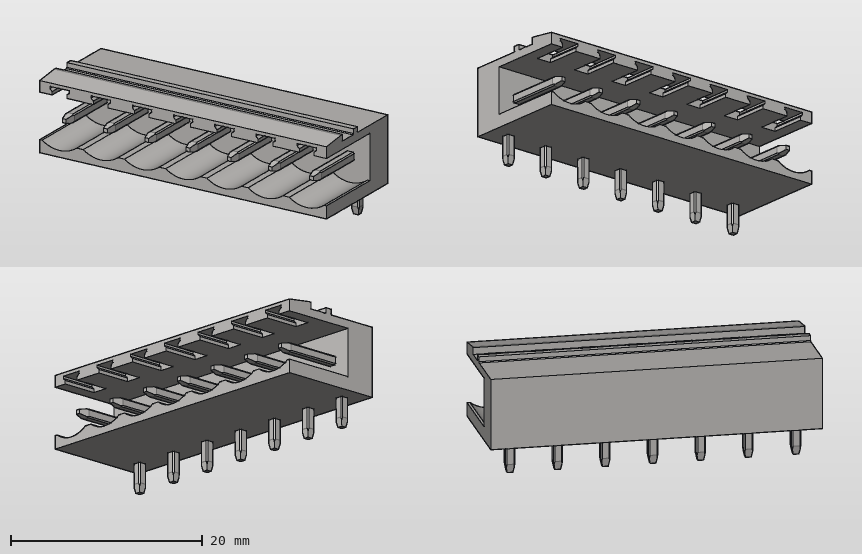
import cadquery as cq


length = 35.35
depth = 12.0
rear_wall = 3.5
floor_thickness = 1.5
ceiling_height = 6.8
roof_height = 7.7
ridge_front = 6.7
ridge_rear = 5.95
ridge_height = 8.35
ridge_foot = 0.1
lip_start = 8.85
lip_flat = 0.32
lip_height = 8.45
lip_nose_height = 8.1

pin_count = 7
end_margin = 2.45
pitch = (length - 2 * end_margin) / (pin_count - 1)
pin_xs = [end_margin - length / 2 + i * pitch for i in range(pin_count)]

scallop_width = 4.28
scallop_depth = 0.7
scallop_radius = ((scallop_width / 2) ** 2 + scallop_depth ** 2) / (2 * scallop_depth)

notch_top_width = 2.37
notch_bottom_width = 1.8
notch_throat = 0.4
notch_slope = (notch_top_width - notch_bottom_width) / 2
notch_reach_behind_lip = 1.0
notch_start = lip_start - notch_reach_behind_lip

pin_size = 1.0
pin_edge_chamfer = 0.15
contact_height = 3.75
contact_reach = 11.05
contact_taper = 1.15
contact_tip_size = 0.45
tail_setback = 2.1
tail_reach = 3.2
tail_taper = 0.95
tail_tip_size = 0.6


def make_housing_blank():
    """Side profile of the housing, extruded along the row."""
    profile = [
        (0, 0),
        (-depth, 0),
        (-depth, floor_thickness),
        (-rear_wall, floor_thickness),
        (-rear_wall, ceiling_height),
        (-depth, ceiling_height),
        (-depth, lip_nose_height),
        (-(lip_start + lip_flat), lip_height),
        (-lip_start, lip_height),
        (-lip_start, roof_height),
        (-(ridge_front + ridge_foot), roof_height),
        (-ridge_front, roof_height + ridge_foot),
        (-ridge_front, ridge_height),
        (-ridge_rear, ridge_height),
        (-ridge_rear, roof_height + ridge_foot),
        (-(ridge_rear - ridge_foot), roof_height),
        (0, roof_height),
    ]
    return cq.Workplane("YZ").polyline(profile).close().extrude(length / 2, both=True)


def make_scallop(x):
    """Round trough in the floor, from the rear wall out through the front."""
    return (
        cq.Workplane("XZ", origin=(x, -rear_wall, floor_thickness - scallop_depth + scallop_radius))
        .circle(scallop_radius)
        .extrude(depth - rear_wall)
        .intersect(
            cq.Workplane("XY", origin=(x, 0, 0))
            .rect(scallop_width, 2 * depth)
            .extrude(floor_thickness)
        )
    )


def make_notch(x):
    """Stepped opening, wide at the roof surface and narrow at the ceiling."""
    half_top = notch_top_width / 2
    half_bottom = notch_bottom_width / 2
    throat_top = ceiling_height + notch_throat
    return (
        cq.Workplane("XZ", origin=(x, -notch_start, 0))
        .moveTo(-half_bottom, ceiling_height)
        .lineTo(-half_bottom, throat_top)
        .lineTo(-half_top, throat_top + notch_slope)
        .lineTo(-half_top, roof_height)
        .lineTo(half_top, roof_height)
        .lineTo(half_top, throat_top + notch_slope)
        .lineTo(half_bottom, throat_top)
        .lineTo(half_bottom, ceiling_height)
        .close()
        .extrude(depth - notch_start)
    )


def make_leg(leg_length, taper_length, tip_size):
    """Upright square leg with chamfered edges, its top end tapering to a flat tip."""
    shank_length = leg_length - taper_length
    shank = cq.Workplane("XY").rect(pin_size, pin_size).extrude(shank_length)
    taper = (
        cq.Workplane("XY", origin=(0, 0, shank_length))
        .rect(pin_size, pin_size)
        .workplane(offset=taper_length)
        .rect(tip_size, tip_size)
        .loft(ruled=True)
    )
    chamfered = (
        cq.Workplane("XY")
        .rect(pin_size, pin_size)
        .extrude(leg_length)
        .edges("|Z")
        .chamfer(pin_edge_chamfer)
    )
    return shank.union(taper).intersect(chamfered)


def make_pin(x):
    """Right-angle pin: a contact pointing forward and a tail pointing down."""
    elbow_rear = tail_setback - pin_size / 2
    elbow_top = contact_height + pin_size / 2
    contact = (
        make_leg(contact_reach - elbow_rear, contact_taper, contact_tip_size)
        .rotate((0, 0, 0), (1, 0, 0), 90)
        .translate((x, -elbow_rear, contact_height))
    )
    tail = (
        make_leg(elbow_top + tail_reach, tail_taper, tail_tip_size)
        .rotate((0, 0, 0), (1, 0, 0), 180)
        .translate((x, -tail_setback, elbow_top))
    )
    return contact.union(tail)


pins = [make_pin(x) for x in pin_xs]

housing = make_housing_blank()
for x, pin in zip(pin_xs, pins):
    housing = housing.cut(make_scallop(x))
    housing = housing.cut(make_notch(x))
    housing = housing.cut(pin)

result = cq.Compound.makeCompound([housing.solids().val(), *[pin.solids().val() for pin in pins]])